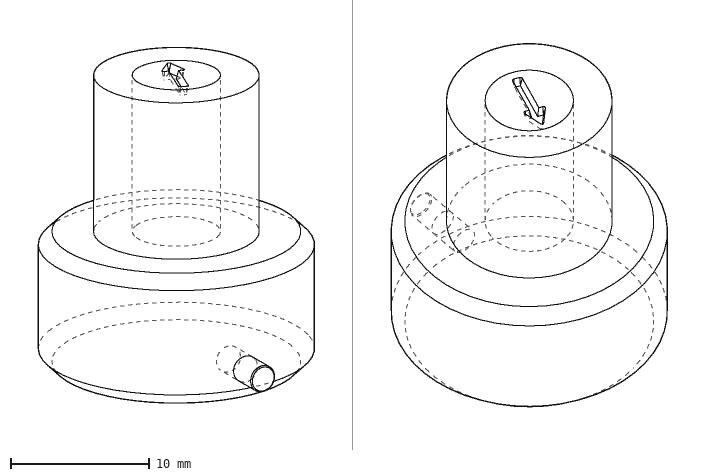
import cadquery as cq

base_diameter = 20.0
base_height = 10.0
base_chamfer = 1.0
stem_diameter = 12.0
total_height = 22.0
stem_height = total_height - base_height

insert_diameter = 6.4
insert_length = stem_height

arrow_length = 4.85
arrow_tip_reach = 2.5
arrow_head_length = 1.4
arrow_head_width = 1.35
arrow_shaft_width = 0.45
arrow_angle = 162
arrow_depth = 0.7
arrow_wall_taper = 12.0

pin_diameter = 2.0
pin_projection = 2.5
pin_embedded_length = pin_projection
pin_axis_height = 2.5
pin_chamfer = 0.1


def make_insert_cylinder():
    """Plain cylinder that fills the bore of the stem."""
    return (
        cq.Workplane("XY")
        .workplane(offset=total_height - insert_length)
        .circle(insert_diameter / 2)
        .extrude(insert_length)
    )


def make_arrow_cutter():
    """Arrow across the insert axis, widening upward from its floor to the top face."""
    tip = arrow_tip_reach
    neck = tip - arrow_head_length
    tail = tip - arrow_length
    half_head = arrow_head_width / 2
    half_shaft = arrow_shaft_width / 2
    outline = [
        (tip, 0),
        (neck, half_head),
        (neck, half_shaft),
        (tail, half_shaft),
        (tail, -half_shaft),
        (neck, -half_shaft),
        (neck, -half_head),
    ]
    return (
        cq.Workplane("XY")
        .workplane(offset=total_height - arrow_depth)
        .polyline(outline)
        .close()
        .extrude(arrow_depth, taper=-arrow_wall_taper)
        .rotate((0, 0, 0), (0, 0, 1), arrow_angle)
    )


def make_insert():
    return make_insert_cylinder().cut(make_arrow_cutter())


def make_pin():
    """Side pin with a small chamfer on its free end."""
    inner_end = base_diameter / 2 - pin_embedded_length
    return (
        cq.Workplane("YZ")
        .workplane(offset=inner_end)
        .center(0, pin_axis_height)
        .circle(pin_diameter / 2)
        .extrude(pin_embedded_length + pin_projection)
        .faces(">X")
        .chamfer(pin_chamfer)
    )


def make_housing():
    """Base and stem, with a bore for the insert and a side hole for the pin."""
    base = cq.Workplane("XY").circle(base_diameter / 2).extrude(base_height)
    base = base.faces("<Z or >Z").chamfer(base_chamfer)
    stem = (
        cq.Workplane("XY")
        .workplane(offset=base_height)
        .circle(stem_diameter / 2)
        .extrude(stem_height)
    )
    return base.union(stem).cut(make_insert_cylinder()).cut(make_pin())


housing = make_housing()
insert = make_insert()
pin = make_pin()

result = cq.Compound.makeCompound([housing.val(), insert.val(), pin.val()])